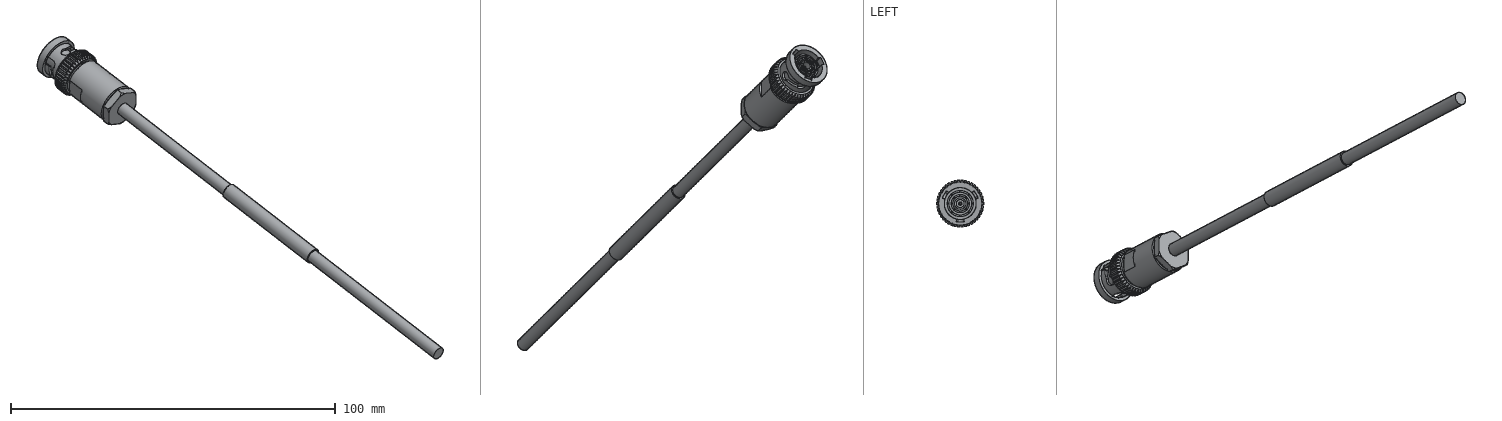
import cadquery as cq
import math

TOTAL_LENGTH = 175.1

FLANGE_RADIUS = 6.7
FLANGE_LENGTH = 2.5
BARREL_RADIUS = 11.4 / 2
BAYONET_BORE_RADIUS = 4.9
BAYONET_BORE_DEPTH = 8.8
COUPLING_LENGTH = 12.8
GRIP_START = 7.9
GRIP_RADIUS = 14.5 / 2
GRIP_CHAMFER = 0.9
KNURL_COUNT = 42
KNURL_DEPTH = 0.7
KNURL_LAND = 0.5

SLOT_COUNT = 3
SLOT_TURN = 60.0
ENTRY_WIDTH = 2.5
RAMP_WIDTH = 1.8
RAMP_START = 4.7
LOCK_POSITION = 5.8
LOCK_RADIUS = 1.4

CONTACT_FRONT = 1.0
CONTACT_RADIUS = 4.0
TUBE_WALL = 0.5
CONTACT_CAVITY_DEPTH = 7.0
CONTACT_SLOT_COUNT = 8
CONTACT_SLOT_WIDTH = 0.4
CONTACT_SLOT_LENGTH = 2.1
INNER_CONTACT_RADIUS = 2.8
INSULATOR_RADIUS = 1.8
NECK_RADIUS = 5.8
NECK_LENGTH = 0.9
BODY_RADIUS = 6.3
BODY_END = 29.0
BODY_CHAMFER = 0.4
FLAT_END = 19.3
FLAT_DISTANCE = 5.6

NUT_LENGTH = 2.5
NUT_ACROSS_FLATS = 11.4
NUT_CHAMFER = 0.5

CABLE_RADIUS = 4.0 / 2
CABLE_INSERTION = 7.0
CABLE_START = BODY_END - CABLE_INSERTION
PIN_RADIUS = 0.5
PIN_FRONT = 2.1
PIN_CHAMFER = 0.26

SLEEVE_START = 79.8
SLEEVE_LENGTH = 38.2
SLEEVE_RADIUS = 2.5


def rod(start, end, radius):
    """Round bar along the X axis."""
    return cq.Workplane("YZ", origin=(start, 0, 0)).circle(radius).extrude(end - start)


def tube(start, end, radius, bore_radius):
    """Round tube along the X axis."""
    return rod(start, end, radius).cut(rod(start, end, bore_radius))


def radial_plane(x):
    """Plane at x on the axis, facing outward along +Z."""
    return cq.Workplane("XY", origin=(x, 0, 0))


def about_axis(shape, angle):
    """Copy of a shape turned about the X axis, from +Y toward +Z."""
    return shape.rotate((0, 0, 0), (1, 0, 0), angle)


def bayonet_slot():
    """Cutter for one slot, with its lock hole facing +Z."""
    lock_hole = radial_plane(LOCK_POSITION).circle(LOCK_RADIUS).extrude(GRIP_RADIUS)

    entry = radial_plane(0).rect(2 * RAMP_START, ENTRY_WIDTH).extrude(BARREL_RADIUS)
    entry_end = radial_plane(RAMP_START).circle(ENTRY_WIDTH / 2).extrude(BARREL_RADIUS)
    entry = about_axis(entry.union(entry_end), -SLOT_TURN)

    rise = LOCK_POSITION - RAMP_START
    pitch = rise * 360 / SLOT_TURN
    ramp_radius = (BAYONET_BORE_RADIUS + BARREL_RADIUS) / 2
    helix = cq.Wire.makeHelix(pitch, rise, ramp_radius)
    ramp = (
        cq.Workplane("XZ", origin=(ramp_radius, 0, 0))
        .rect(2 * (BARREL_RADIUS - BAYONET_BORE_RADIUS), RAMP_WIDTH)
        .sweep(cq.Workplane(obj=helix), isFrenet=True)
        .rotate((0, 0, 0), (0, 1, 0), 90)
        .translate((RAMP_START, 0, 0))
    )
    ramp = about_axis(ramp, 180 - SLOT_TURN)
    return lock_hole.union(entry).union(ramp)


def knurl_groove():
    """Cutter for one V groove along the top of the grip."""
    half_width = (2 * math.pi * GRIP_RADIUS / KNURL_COUNT - KNURL_LAND) / 2
    root = GRIP_RADIUS - KNURL_DEPTH
    return (
        cq.Workplane("YZ", origin=(GRIP_START, 0, 0))
        .polyline([(0, root), (half_width, GRIP_RADIUS), (-half_width, GRIP_RADIUS)])
        .close()
        .extrude(COUPLING_LENGTH - GRIP_START)
    )


def make_coupling():
    """Bayonet shell and knurled grip in one piece."""
    grip = rod(GRIP_START, COUPLING_LENGTH, GRIP_RADIUS).edges().chamfer(GRIP_CHAMFER)
    for i in range(KNURL_COUNT):
        grip = grip.cut(about_axis(knurl_groove(), i * 360 / KNURL_COUNT))
    flange = rod(0, FLANGE_LENGTH, FLANGE_RADIUS)
    coupling = rod(0, COUPLING_LENGTH, BARREL_RADIUS).union(flange).union(grip)
    coupling = coupling.cut(rod(0, BAYONET_BORE_DEPTH, BAYONET_BORE_RADIUS))
    for i in range(SLOT_COUNT):
        coupling = coupling.cut(about_axis(bayonet_slot(), i * 360 / SLOT_COUNT))
    return coupling.cut(rod(0, COUPLING_LENGTH, CONTACT_RADIUS))


def slotted(contact_tube):
    """Cut evenly spaced spring slots into the front end of a contact tube."""
    slot = (
        cq.Workplane("XY")
        .box(CONTACT_SLOT_LENGTH, CONTACT_SLOT_WIDTH, 2 * CONTACT_RADIUS, centered=(False, True, True))
        .translate((CONTACT_FRONT, 0, 0))
    )
    for i in range(CONTACT_SLOT_COUNT // 2):
        contact_tube = contact_tube.cut(about_axis(slot, i * 360 / CONTACT_SLOT_COUNT))
    return contact_tube


def make_body():
    """Connector body with wrench flats, neck and front contact."""
    main_start = COUPLING_LENGTH + NECK_LENGTH
    body = rod(main_start, BODY_END, BODY_RADIUS).faces(">X").edges().chamfer(BODY_CHAMFER)
    for side in (-1, 1):
        flat_center = ((FLAT_END + main_start) / 2, side * (FLAT_DISTANCE + BODY_RADIUS / 2), 0)
        flat = cq.Workplane(origin=flat_center).box(FLAT_END - main_start, BODY_RADIUS, 2 * BODY_RADIUS)
        body = body.cut(flat)
    body = body.union(rod(COUPLING_LENGTH, main_start, NECK_RADIUS))

    cavity_end = CONTACT_FRONT + CONTACT_CAVITY_DEPTH
    contact = rod(cavity_end, COUPLING_LENGTH, CONTACT_RADIUS)
    for radius in (CONTACT_RADIUS, INNER_CONTACT_RADIUS):
        contact = contact.union(slotted(tube(CONTACT_FRONT, cavity_end, radius, radius - TUBE_WALL)))
    insulator_bore = INSULATOR_RADIUS - TUBE_WALL
    contact = contact.union(tube(CONTACT_FRONT, cavity_end, INSULATOR_RADIUS, insulator_bore))

    body = body.union(contact)
    body = body.cut(rod(CABLE_START, BODY_END, CABLE_RADIUS))
    return body.cut(rod(CONTACT_FRONT, BODY_END, PIN_RADIUS))


def make_nut():
    """Hexagonal clamp nut behind the body."""
    across_corners = NUT_ACROSS_FLATS / math.cos(math.radians(30))
    end = BODY_END + NUT_LENGTH
    plane = cq.Plane(origin=(BODY_END, 0, 0), xDir=(0, 0, 1), normal=(1, 0, 0))
    hexagon = cq.Workplane(plane).polygon(6, across_corners).extrude(NUT_LENGTH)
    corner_trim = rod(BODY_END, end, across_corners / 2).faces(">X").edges().chamfer(NUT_CHAMFER)
    return hexagon.intersect(corner_trim).cut(rod(BODY_END, end, CABLE_RADIUS))


def make_cable():
    """Cable jacket with the pin reaching through the body."""
    pin = rod(PIN_FRONT, CABLE_START, PIN_RADIUS).faces("<X").edges().chamfer(PIN_CHAMFER)
    jacket = rod(CABLE_START, TOTAL_LENGTH, CABLE_RADIUS)
    return jacket.union(pin)


def make_sleeve():
    """Marker sleeve around the cable."""
    return tube(SLEEVE_START, SLEEVE_START + SLEEVE_LENGTH, SLEEVE_RADIUS, CABLE_RADIUS)


coupling = make_coupling()
body = make_body()
nut = make_nut()
cable = make_cable()
sleeve = make_sleeve()

result = cq.Compound.makeCompound([coupling.val(), body.val(), nut.val(), cable.val(), sleeve.val()])